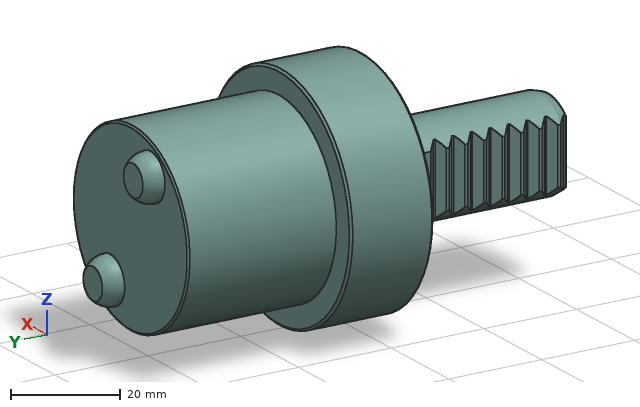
import cadquery as cq
import math

TOTAL_LENGTH = 93.7

FLANGE_DIAMETER = 49.9
FLANGE_LENGTH = 18.0
FLANGE_FLAT_X = 23.0
FLANGE_CHAMFER = 0.5

BODY_DIAMETER = 40.0
BODY_LENGTH = 31.95
BODY_CHAMFER = 0.4

SHANK_DIAMETER = 20.0
SHANK_LENGTH = 40.0
NECK_DIAMETER = 19.1
NECK_LENGTH = 0.9
NECK_TAPER_LENGTH = 1.3
TIP_TAPER_LENGTH = 2.0
TIP_TAPER_ANGLE = 15.0

UNDERCUT_DIAMETER = 22.8
UNDERCUT_DEPTH = 0.6
NECK_FILLET = 0.9

FLAT_DEPTH = 2.1
FLAT_START = 7.0
GROOVE_COUNT = 8
GROOVE_DEPTH = 1.5
FIRST_GROOVE_START = 9.9
LAST_GROOVE_START = 37.95
GROOVE_PITCH = (LAST_GROOVE_START - FIRST_GROOVE_START) / (GROOVE_COUNT - 1)
GROOVE_FLOOR_WIDTH = 0.4

STUD_DIAMETER = 10.0
STUD_HEIGHT = TOTAL_LENGTH - SHANK_LENGTH - FLANGE_LENGTH - BODY_LENGTH
STUD_CIRCLE_RADIUS = 14.0
STUD_ROOT = 0.9
STUD_ANGLES = (120.0, 300.0)

BODY_END_Y = FLANGE_LENGTH + BODY_LENGTH


def cylinder_along_y(diameter, start_y, length):
    plane = cq.Plane(origin=(0, start_y, 0), xDir=(1, 0, 0), normal=(0, 1, 0))
    return cq.Workplane(plane).circle(diameter / 2).extrude(length)


def revolved_about_y(profile):
    """Turn an open chain of (radius, y) edges, once closed, about the Y axis."""
    return profile.close().revolve(360, (0, 0, 0), (0, 1, 0))


def make_flange():
    disc = cylinder_along_y(FLANGE_DIAMETER, 0, FLANGE_LENGTH)
    beyond_flat = cq.Workplane("XY").box(
        FLANGE_DIAMETER, 2 * FLANGE_LENGTH, FLANGE_DIAMETER, centered=(False, True, True)
    ).translate((FLANGE_FLAT_X, FLANGE_LENGTH / 2, 0))
    return disc.cut(beyond_flat).faces("<Y or >Y").chamfer(FLANGE_CHAMFER)


def make_body():
    return cylinder_along_y(BODY_DIAMETER, FLANGE_LENGTH, BODY_LENGTH).faces(">Y").chamfer(BODY_CHAMFER)


def make_undercut():
    """Shallow round recess whose wall is a quarter circle running down to a flat floor."""
    lip_radius = UNDERCUT_DIAMETER / 2
    floor_radius = lip_radius - UNDERCUT_DEPTH
    wall_middle = (
        floor_radius + UNDERCUT_DEPTH * math.cos(math.pi / 4),
        UNDERCUT_DEPTH * math.sin(math.pi / 4),
    )
    profile = (
        cq.Workplane("XY")
        .lineTo(lip_radius, 0)
        .threePointArc(wall_middle, (floor_radius, UNDERCUT_DEPTH))
        .lineTo(0, UNDERCUT_DEPTH)
    )
    return revolved_about_y(profile)


def make_round_shank():
    """Shank from its taper at the tip to the fillet that flares onto the undercut floor."""
    radius = SHANK_DIAMETER / 2
    neck_radius = NECK_DIAMETER / 2
    tip_radius = radius - TIP_TAPER_LENGTH * math.tan(math.radians(TIP_TAPER_ANGLE))
    root_radius = neck_radius + NECK_FILLET
    fillet_end_y = UNDERCUT_DEPTH - NECK_FILLET
    fillet_middle = (
        root_radius - NECK_FILLET * math.cos(math.pi / 4),
        fillet_end_y + NECK_FILLET * math.sin(math.pi / 4),
    )
    profile = (
        cq.Workplane("XY")
        .moveTo(0, -SHANK_LENGTH)
        .lineTo(tip_radius, -SHANK_LENGTH)
        .lineTo(radius, -SHANK_LENGTH + TIP_TAPER_LENGTH)
        .lineTo(radius, -NECK_LENGTH - NECK_TAPER_LENGTH)
        .lineTo(neck_radius, -NECK_LENGTH)
        .lineTo(neck_radius, fillet_end_y)
        .threePointArc(fillet_middle, (root_radius, UNDERCUT_DEPTH))
        .lineTo(0, UNDERCUT_DEPTH)
    )
    return revolved_about_y(profile)


def make_tooth_cutter():
    """Space outside the flat plus a row of trapezoidal grooves with 45 degree flanks."""
    outside_x = -SHANK_DIAMETER
    flat_x = FLAT_DEPTH - SHANK_DIAMETER / 2
    floor_x = flat_x + GROOVE_DEPTH
    end_y = -FIRST_GROOVE_START - GROOVE_COUNT * GROOVE_PITCH
    outline = [(outside_x, end_y), (outside_x, -FLAT_START), (flat_x, -FLAT_START)]
    for i in range(GROOVE_COUNT):
        groove_y = -FIRST_GROOVE_START - i * GROOVE_PITCH
        outline += [
            (flat_x, groove_y),
            (floor_x, groove_y - GROOVE_DEPTH),
            (floor_x, groove_y - GROOVE_DEPTH - GROOVE_FLOOR_WIDTH),
            (flat_x, groove_y - 2 * GROOVE_DEPTH - GROOVE_FLOOR_WIDTH),
        ]
    outline.append((flat_x, end_y))
    return cq.Workplane("XY").polyline(outline).close().extrude(SHANK_DIAMETER / 2, both=True)


def make_stud(angle):
    """Half ball on the rear face of the body, crown cut flat, with a root sunk into the body."""
    x = STUD_CIRCLE_RADIUS * math.cos(math.radians(angle))
    z = STUD_CIRCLE_RADIUS * math.sin(math.radians(angle))
    radius = STUD_DIAMETER / 2
    crown_radius = math.sqrt(radius**2 - STUD_HEIGHT**2)
    bulge_radius = math.sqrt(radius**2 - (STUD_HEIGHT / 2) ** 2)
    profile = (
        cq.Workplane("XY")
        .moveTo(0, -STUD_ROOT)
        .lineTo(radius, -STUD_ROOT)
        .lineTo(radius, 0)
        .threePointArc((bulge_radius, STUD_HEIGHT / 2), (crown_radius, STUD_HEIGHT))
        .lineTo(0, STUD_HEIGHT)
    )
    return revolved_about_y(profile).translate((x, BODY_END_Y, z))


result = make_flange().union(make_body()).cut(make_undercut())
result = result.union(make_round_shank()).cut(make_tooth_cutter())
for stud_angle in STUD_ANGLES:
    result = result.union(make_stud(stud_angle))